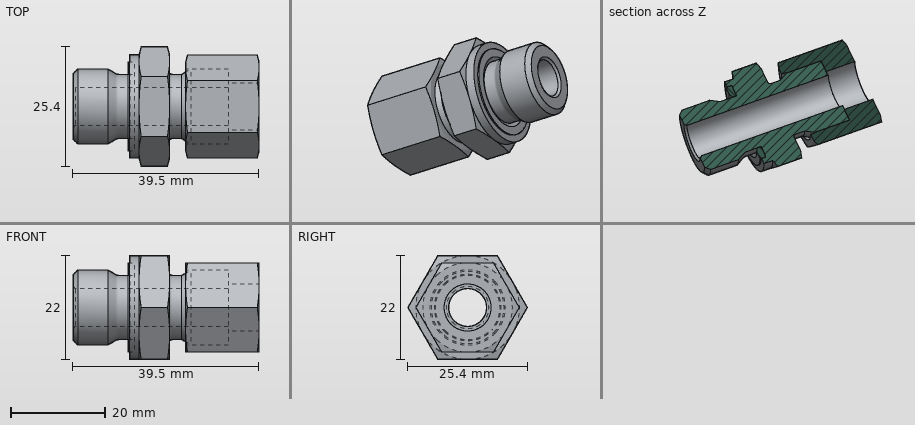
import cadquery as cq
import math


total_length = 39.5
stud_length = 12.0
collar_length = 2.0
hex_length = 6.5
nut_length = 15.6
collar_face = stud_length
hex_start = collar_face + collar_length
hex_end = hex_start + hex_length
nut_start = total_length - nut_length

hex_sides = 6

bore_radius = 4.0
thread_radius = 8.0
neck_radius = 6.85
runout_angle = math.radians(30)

stud_chamfer = 1.0
bore_chamfer = 0.5
stud_thread_end = 7.37
stud_blend_start = 9.07
stud_blend_end = 9.65
blend_radius = (stud_blend_end - stud_blend_start) / math.sin(runout_angle)

body_flats = 22.0
collar_radius = body_flats / 2
hex_chamfer_angle = math.radians(15)
neck_fillet_radius = 0.8
neck_fillet_angle = math.radians(45)
union_thread_runout = 23.05
union_thread_end = 33.0

seal_outer_radius = 9.5
seal_mouth_radius = 7.7
seal_projection = 0.3
countersink_depth = 0.4
seal_depth = 1.0
seal_face = collar_face - seal_projection
seal_seat = collar_face + seal_depth

nut_flats = 19.0
tube_radius = 5.0


def turned(profile):
    """Turn a closed profile about the X axis."""
    return profile.close().revolve(360, (0, 0, 0), (1, 0, 0))


def cylinder(radius, start, end):
    """Cylinder about the X axis between two X positions."""
    return cq.Workplane("YZ").workplane(offset=start).circle(radius).extrude(end - start)


def chamfered_hexagon(flats, start, end):
    """Hexagon with corners on the Y axis, both ends coned down to the inscribed circle."""
    inscribed = flats / 2
    corner = inscribed / math.cos(math.pi / hex_sides)
    cone_depth = (corner - inscribed) * math.tan(hex_chamfer_angle)
    prism = cq.Workplane("YZ").workplane(offset=start).polygon(hex_sides, 2 * corner).extrude(end - start)
    envelope = turned(
        cq.Workplane("XY")
        .moveTo(start, 0)
        .lineTo(start, inscribed)
        .lineTo(start + cone_depth, corner)
        .lineTo(end - cone_depth, corner)
        .lineTo(end, inscribed)
        .lineTo(end, 0)
    )
    return prism.intersect(envelope)


def blend_point(fraction, angle, radius):
    """Axial run and radial rise of an arc that leaves the neck tangentially."""
    turn = angle * fraction
    return radius * math.sin(turn), radius * (1 - math.cos(turn))


def make_stud():
    """Stud with end chamfer, thread cylinder, run-out cone and rounded neck."""
    mid_run, mid_rise = blend_point(0.5, runout_angle, blend_radius)
    _, full_rise = blend_point(1.0, runout_angle, blend_radius)
    return turned(
        cq.Workplane("XY")
        .moveTo(0, 0)
        .lineTo(0, thread_radius - stud_chamfer)
        .lineTo(stud_chamfer, thread_radius)
        .lineTo(stud_thread_end, thread_radius)
        .lineTo(stud_blend_start, neck_radius + full_rise)
        .threePointArc((stud_blend_end - mid_run, neck_radius + mid_rise), (stud_blend_end, neck_radius))
        .lineTo(hex_start, neck_radius)
        .lineTo(hex_start, 0)
    )


def make_union_end():
    """Rounded neck behind the hexagon, then the thread that carries the nut."""
    full_run, full_rise = blend_point(1.0, neck_fillet_angle, neck_fillet_radius)
    mid_run, mid_rise = blend_point(0.5, neck_fillet_angle, neck_fillet_radius)
    fillet_end = hex_end + full_run
    runout_length = (thread_radius - neck_radius) / math.tan(runout_angle)
    return turned(
        cq.Workplane("XY")
        .moveTo(hex_end, 0)
        .lineTo(hex_end, neck_radius + full_rise)
        .threePointArc((fillet_end - mid_run, neck_radius + mid_rise), (fillet_end, neck_radius))
        .lineTo(union_thread_runout, neck_radius)
        .lineTo(union_thread_runout + runout_length, thread_radius)
        .lineTo(union_thread_end, thread_radius)
        .lineTo(union_thread_end, 0)
    )


def make_bore():
    """Through bore with a chamfered mouth at the stud end."""
    return turned(
        cq.Workplane("XY")
        .moveTo(0, 0)
        .lineTo(0, bore_radius + bore_chamfer)
        .lineTo(bore_chamfer, bore_radius)
        .lineTo(union_thread_end, bore_radius)
        .lineTo(union_thread_end, 0)
    )


def make_seal_groove():
    """Annular seat in the collar face, reaching in to the neck."""
    outer = cylinder(seal_outer_radius, collar_face, seal_seat)
    return outer.cut(cylinder(neck_radius, collar_face, seal_seat))


def make_body():
    """Stud, collar, hexagon and union end as one bored solid."""
    collar = cylinder(collar_radius, collar_face, hex_start)
    hexagon = chamfered_hexagon(body_flats, hex_start, hex_end)
    solid = make_stud().union(collar).union(hexagon).union(make_union_end())
    return solid.cut(make_seal_groove()).cut(make_bore())


def make_seal_ring():
    """Ring seated in the collar groove, standing proud of the collar, with a countersunk inner edge."""
    return turned(
        cq.Workplane("XY")
        .moveTo(seal_face, seal_mouth_radius)
        .lineTo(seal_face, seal_outer_radius)
        .lineTo(seal_seat, seal_outer_radius)
        .lineTo(seal_seat, neck_radius)
        .lineTo(seal_face + countersink_depth, neck_radius)
    )


def make_nut():
    """Hexagon nut fitted over the union thread, with a tube hole at the outer end."""
    blank = chamfered_hexagon(nut_flats, nut_start, total_length)
    thread_hole = cylinder(thread_radius, nut_start, union_thread_end)
    tube_hole = cylinder(tube_radius, union_thread_end, total_length)
    return blank.cut(thread_hole).cut(tube_hole)


body = make_body()
seal_ring = make_seal_ring()
nut = make_nut()

result = cq.Compound.makeCompound([body.val(), seal_ring.val(), nut.val()])